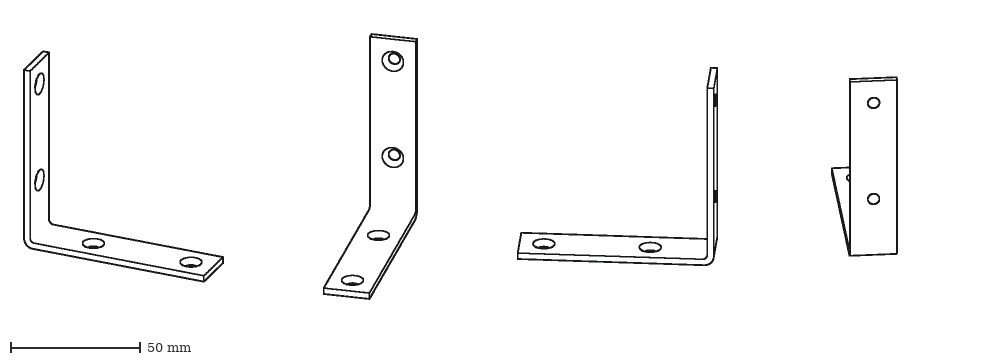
import cadquery as cq

leg_length = 76.2
width = 18.3
thickness = 2.6
inner_bend_radius = 1.8
outer_bend_radius = 3.8

hole_diameter = 4.5
countersink_diameter = 8.45
countersink_angle = 82.0
hole_distances = (25.4, 66.7)


def bent_strip():
    """L-shaped strip with its outer corner at the origin, centred on Y = 0."""
    outline = (
        cq.Workplane("XZ")
        .moveTo(0, 0)
        .lineTo(leg_length, 0)
        .lineTo(leg_length, thickness)
        .lineTo(thickness, thickness)
        .lineTo(thickness, leg_length)
        .lineTo(0, leg_length)
        .close()
    )
    strip = outline.extrude(width / 2, both=True)
    inner_corner = cq.selectors.NearestToPointSelector((thickness, 0, thickness))
    outer_corner = cq.selectors.NearestToPointSelector((0, 0, 0))
    strip = strip.edges("|Y").edges(inner_corner).fillet(inner_bend_radius)
    return strip.edges("|Y").edges(outer_corner).fillet(outer_bend_radius)


def drill_leg(body, inner_face, hole_centers):
    """Cut through holes, countersunk from the inner face of a leg."""
    return body.copyWorkplane(inner_face).pushPoints(hole_centers).cskHole(
        hole_diameter, countersink_diameter, countersink_angle, depth=thickness
    )


floor_face = cq.Workplane(cq.Plane((0, 0, thickness), xDir=(1, 0, 0), normal=(0, 0, 1)))
wall_face = cq.Workplane(cq.Plane((thickness, 0, 0), xDir=(0, 0, 1), normal=(1, 0, 0)))
hole_centers = [(distance, 0) for distance in hole_distances]

result = bent_strip()
result = drill_leg(result, floor_face, hole_centers)
result = drill_leg(result, wall_face, hole_centers)